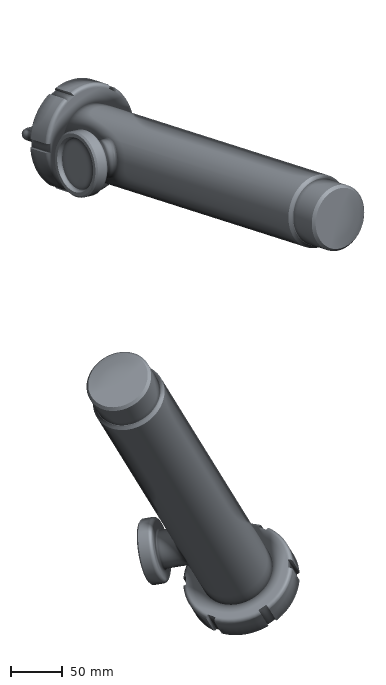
import cadquery as cq

total_length = 442.0
body_diameter = 73.0
body_end_x = 411.0
body_chamfer = 3.0
spigot_diameter = 66.0
spigot_chamfer = 2.5

nut_start_x = 35.0
nut_width = 28.7
nut_diameter = 111.5
nut_edge = 4.0
slot_count = 6
slot_width = 9.5
slot_depth = 4.0

rod_diameter = 9.7
handle_leg_offset = 38.5
handle_bend_radius = 10.0
handle_embed = 4.5

branch_x = 126.0
branch_reach = 72.0
neck_diameter = 38.0
neck_fillet = 2.0
ferrule_root_fillet = 1.8
ferrule_diameter = 65.5
ferrule_thickness = 15.5
ferrule_back_fillet = 3.5
ferrule_front_chamfer = 1.8
recess_diameter = 55.0
recess_floor_diameter = 50.5
recess_depth = 4.5


def x_cylinder(diameter, start, end):
    """Solid cylinder on the main axis between two X positions."""
    return cq.Workplane("YZ", origin=(start, 0, 0)).circle(diameter / 2).extrude(end - start)


def make_body():
    """Tube body, chamfered down to the narrower end spigot."""
    shell = x_cylinder(body_diameter, nut_start_x, body_end_x)
    shell = shell.faces(">X").chamfer(body_chamfer)
    spigot = x_cylinder(spigot_diameter, nut_start_x, total_length)
    spigot = spigot.faces(">X").chamfer(spigot_chamfer)
    return shell.union(spigot)


def make_nut():
    """Ring nut with rounded rims and spanner slots around its edge."""
    nut = x_cylinder(nut_diameter, nut_start_x, nut_start_x + nut_width)
    nut = nut.faces("<X or >X").edges().fillet(nut_edge)
    slots = (
        cq.Workplane("YZ", origin=(nut_start_x, 0, 0))
        .polarArray(nut_diameter / 2, 0, 360, slot_count)
        .rect(2 * slot_depth, slot_width)
        .extrude(nut_width)
    )
    return nut.cut(slots)


def make_handle():
    """Round rod swept along a U with two rounded corners."""
    grip_x = rod_diameter / 2
    root_x = nut_start_x + handle_embed
    bend_end_x = grip_x + handle_bend_radius
    grip_half = handle_leg_offset - handle_bend_radius
    path = (
        cq.Workplane("XY")
        .moveTo(root_x, handle_leg_offset)
        .lineTo(bend_end_x, handle_leg_offset)
        .tangentArcPoint((grip_x, grip_half), relative=False)
        .lineTo(grip_x, -grip_half)
        .tangentArcPoint((bend_end_x, -handle_leg_offset), relative=False)
        .lineTo(root_x, -handle_leg_offset)
    )
    section = cq.Workplane("YZ", origin=(root_x, handle_leg_offset, 0)).circle(rod_diameter / 2)
    return section.sweep(path)


def make_neck():
    """Branch pipe from the main axis to the ferrule."""
    plane = cq.Workplane("XZ", origin=(branch_x, 0, 0))
    return plane.circle(neck_diameter / 2).extrude(branch_reach - ferrule_thickness)


def make_ferrule():
    """Branch flange with a tapered recess in its outer face."""
    plane = cq.Workplane("XZ", origin=(branch_x, ferrule_thickness - branch_reach, 0))
    ferrule = plane.circle(ferrule_diameter / 2).extrude(ferrule_thickness)
    ferrule = ferrule.faces(">Y").edges().fillet(ferrule_back_fillet)
    ferrule = ferrule.faces("<Y").edges().chamfer(ferrule_front_chamfer)
    recess = (
        cq.Workplane("XZ", origin=(branch_x, recess_depth - branch_reach, 0))
        .circle(recess_floor_diameter / 2)
        .workplane(offset=recess_depth)
        .circle(recess_diameter / 2)
        .loft()
    )
    return ferrule.cut(recess)


def make_branch_joint():
    """Body and branch pipe, blended where they meet."""
    joint_zone = cq.selectors.BoxSelector(
        (branch_x - neck_diameter, -body_diameter / 2 - neck_fillet, -neck_diameter),
        (branch_x + neck_diameter, -body_diameter / 4, neck_diameter),
    )
    return make_body().union(make_neck()).edges(joint_zone).fillet(neck_fillet)


def round_ferrule_root(part):
    """Blend the branch pipe into the back of the ferrule."""
    root_y = ferrule_thickness - branch_reach
    root_zone = cq.selectors.BoxSelector(
        (branch_x - neck_diameter / 2, root_y - ferrule_root_fillet / 2, -neck_diameter / 2),
        (branch_x + neck_diameter / 2, root_y + ferrule_root_fillet / 2, neck_diameter / 2),
    )
    root_edge = part.edges(root_zone).edges(cq.selectors.RadiusNthSelector(0))
    return root_edge.fillet(ferrule_root_fillet)


result = round_ferrule_root(make_branch_joint().union(make_ferrule()))
result = result.union(make_nut()).union(make_handle())